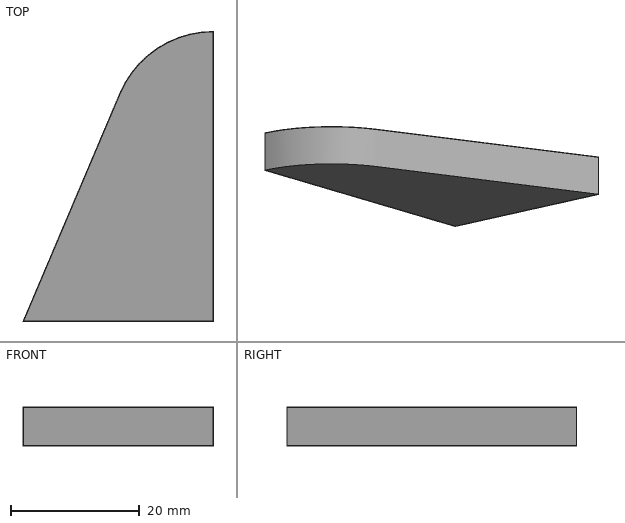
import cadquery as cq
import math

width = 29.5
length = 45.0
thickness = 6.0
nose_radius = 15.75

center_x = width
center_y = length - nose_radius

center_distance = math.hypot(center_x, center_y)
center_angle = math.atan2(center_y, center_x)
slope_angle = center_angle + math.asin(nose_radius / center_distance)


def nose_point(angle):
    """Point on the nose arc, with the angle measured from +X."""
    return (
        center_x + nose_radius * math.cos(angle),
        center_y + nose_radius * math.sin(angle),
    )


tip_angle = math.pi / 2
tangent_angle = slope_angle + math.pi / 2
middle_angle = (tip_angle + tangent_angle) / 2

result = (
    cq.Workplane("XY")
    .moveTo(0, 0)
    .lineTo(width, 0)
    .lineTo(width, length)
    .threePointArc(nose_point(middle_angle), nose_point(tangent_angle))
    .close()
    .extrude(thickness)
)